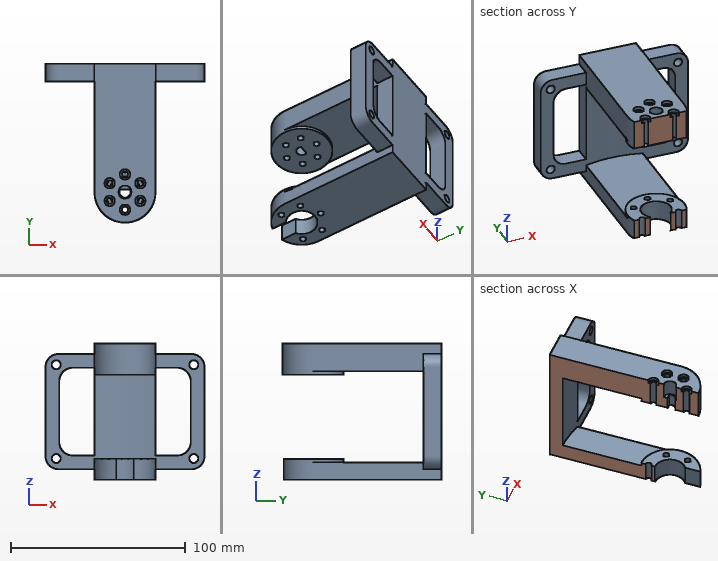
import cadquery as cq
import math

length = 91.0
height = 78.0
arm_width = 35.0
end_radius = arm_width / 2
pivot_y = -(length - end_radius)

frame_width = 91.0
frame_thickness = 10.4
frame_inset = 6.0
frame_height = height - 2 * frame_inset
frame_border = 8.0
frame_corner_radius = 7.5
frame_hole_diameter = 5.0
frame_hole_inset = 6.2

upper_arm_thickness = 16.0
lower_arm_thickness = 10.0
pad_thickness = 2.0
upper_arm_bottom = height - upper_arm_thickness

upper_bore_diameter = 7.5
upper_bore_depth = 10.0
shaft_hole_diameter = 6.3
shaft_flat_offset = 1.4
bolt_count = 6
bolt_diameter = 3.5
upper_bolt_circle_radius = 10.1
counterbore_diameter = 6.0
counterbore_depth = 2.0

seat_diameter = 18.0
slot_width = 10.0
lower_bolt_circle_radius = 13.0


def frame_box(width, tall):
    """Block with rounded corners, centred on the frame and standing on its back face."""
    return (
        cq.Workplane("XY")
        .box(width, frame_thickness, tall)
        .edges("|Y")
        .fillet(frame_corner_radius)
        .translate((0, -frame_thickness / 2, height / 2))
    )


def make_frame():
    """Rounded rectangular frame with a screw hole in each corner."""
    hole_spacing_x = frame_width - 2 * frame_hole_inset
    hole_spacing_z = frame_height - 2 * frame_hole_inset
    window = frame_box(frame_width - 2 * frame_border, frame_height - 2 * frame_border)
    holes = (
        cq.Workplane("XZ", origin=(0, 0, height / 2))
        .rect(hole_spacing_x, hole_spacing_z, forConstruction=True)
        .vertices()
        .circle(frame_hole_diameter / 2)
        .extrude(frame_thickness)
    )
    return frame_box(frame_width, frame_height).cut(window).cut(holes)


def make_web():
    """Full-height back wall joining the two arms."""
    return (
        cq.Workplane("XY")
        .box(arm_width, frame_thickness, height, centered=(True, False, False))
        .translate((0, -frame_thickness, 0))
    )


def make_back_hollow():
    """Space between the arms, bounded behind by an arc about the pivot axis."""
    hollow_radius = math.hypot(end_radius, -frame_thickness - pivot_y)
    return (
        cq.Workplane("XY", origin=(0, 0, lower_arm_thickness))
        .moveTo(-end_radius, -frame_thickness)
        .threePointArc((0, pivot_y + hollow_radius), (end_radius, -frame_thickness))
        .close()
        .extrude(upper_arm_bottom - lower_arm_thickness)
    )


def pivot_cylinder(diameter, bottom, tall):
    return cq.Workplane("XY", origin=(0, pivot_y, bottom)).circle(diameter / 2).extrude(tall)


def make_arm(bottom, thickness, pad_bottom):
    """Straight bar ending in a thicker round pad on the pivot axis."""
    bar = (
        cq.Workplane("XY")
        .box(arm_width, -pivot_y, thickness, centered=(True, False, False))
        .translate((0, pivot_y, bottom))
    )
    return bar.union(pivot_cylinder(arm_width, pad_bottom, thickness + pad_thickness))


def bolt_pattern(circle_radius, diameter, bottom, tall):
    """Ring of cylinders around the pivot axis, one of them straight ahead of it."""
    return (
        cq.Workplane("XY", origin=(0, pivot_y, bottom))
        .polarArray(circle_radius, 90, 360, bolt_count)
        .circle(diameter / 2)
        .extrude(tall)
    )


def make_shaft_hole(bottom, tall):
    """D-shaped hole whose flat faces the mounting frame."""
    flat_side = (
        cq.Workplane("XY")
        .box(shaft_hole_diameter, shaft_hole_diameter, tall, centered=(True, False, False))
        .translate((0, pivot_y + shaft_flat_offset, bottom))
    )
    return pivot_cylinder(shaft_hole_diameter, bottom, tall).cut(flat_side)


def make_upper_arm():
    pad_bottom = upper_arm_bottom - pad_thickness
    depth = height - pad_bottom
    arm = make_arm(upper_arm_bottom, upper_arm_thickness, pad_bottom)
    arm = arm.cut(pivot_cylinder(upper_bore_diameter, height - upper_bore_depth, upper_bore_depth))
    arm = arm.cut(make_shaft_hole(pad_bottom, depth))
    arm = arm.cut(bolt_pattern(upper_bolt_circle_radius, bolt_diameter, pad_bottom, depth))
    counterbores = bolt_pattern(
        upper_bolt_circle_radius, counterbore_diameter, height - counterbore_depth, counterbore_depth
    )
    return arm.cut(counterbores)


def make_lower_arm():
    depth = lower_arm_thickness + pad_thickness
    slot = (
        cq.Workplane("XY")
        .box(slot_width, end_radius, depth, centered=(True, False, False))
        .translate((0, -length, 0))
    )
    arm = make_arm(0, lower_arm_thickness, 0)
    arm = arm.cut(pivot_cylinder(seat_diameter, 0, depth))
    arm = arm.cut(slot)
    return arm.cut(bolt_pattern(lower_bolt_circle_radius, bolt_diameter, 0, depth))


bracket = make_frame().union(make_web()).union(make_upper_arm()).union(make_lower_arm())
result = bracket.cut(make_back_hollow()).clean()